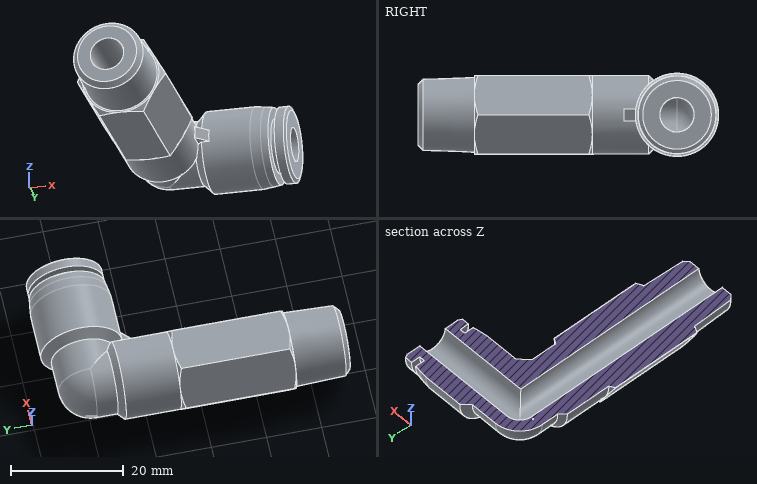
import cadquery as cq
import math

bore_radius = 3.05
thread_tip_radius = 5.4
thread_end_radius = 6.35
thread_root_radius = 6.7
thread_chamfer_length = 0.95
hex_start = 10.05
hex_end = 30.95
across_flats = 14.0
hex_chamfer_angle = math.radians(30)
body_radius = across_flats / 2
body_shoulder = 40.95
body_top = 42.2
neck_radius = 5.8

overall_length = 53.4
sleeve_diameter = 14.8
sleeve_radius = sleeve_diameter / 2
arm_axis_y = overall_length - sleeve_radius
sleeve_cone_start = 6.1
sleeve_start = 7.7
taper_start = 16.55
taper_middle = 18.4
taper_middle_radius = 7.15
sleeve_end = 19.75
sleeve_end_radius = 6.95
groove_radius = 4.9
collar_start = 20.9
collar_radius = 6.9
collar_edge = 22.55
arm_end = 22.9
arm_end_radius = 6.1

gusset_thickness = 2.15
gusset_foot_y = 36.6


def make_stem():
    """Turned profile of the threaded end, body and neck, up to the arm axis."""
    profile = [
        (0, 0),
        (thread_tip_radius, 0),
        (thread_end_radius, thread_chamfer_length),
        (thread_root_radius, hex_start),
        (body_radius, hex_start),
        (body_radius, body_shoulder),
        (neck_radius, body_top),
        (neck_radius, arm_axis_y),
        (0, arm_axis_y),
    ]
    return cq.Workplane("XY").polyline(profile).close().revolve(360, (0, 0), (0, 1))


def make_hex():
    """Hexagon with flats facing up and down and conically chamfered ends."""
    corner_radius = across_flats / 2 / math.cos(math.radians(30))
    chamfer = (corner_radius - body_radius) * math.tan(hex_chamfer_angle)
    prism = (
        cq.Workplane("XZ", origin=(0, hex_end, 0))
        .polygon(6, 2 * corner_radius)
        .extrude(hex_end - hex_start)
    )
    envelope = (
        cq.Workplane("XY")
        .polyline([
            (0, hex_start),
            (body_radius, hex_start),
            (corner_radius, hex_start + chamfer),
            (corner_radius, hex_end - chamfer),
            (body_radius, hex_end),
            (0, hex_end),
        ])
        .close()
        .revolve(360, (0, 0), (0, 1))
    )
    return prism.intersect(envelope)


def make_arm():
    """Turned profile of the arm neck, sleeve and release collar."""
    profile = [
        (0, 0),
        (0, neck_radius),
        (sleeve_cone_start, neck_radius),
        (sleeve_start, sleeve_radius),
        (taper_start, sleeve_radius),
        (taper_middle, taper_middle_radius),
        (sleeve_end, sleeve_end_radius),
        (sleeve_end, groove_radius),
        (collar_start, groove_radius),
        (collar_start, collar_radius),
        (collar_edge, collar_radius),
        (arm_end, arm_end_radius),
        (arm_end, 0),
    ]
    arm = cq.Workplane("XY").polyline(profile).close().revolve(360, (0, 0), (1, 0))
    return arm.translate((0, arm_axis_y, 0))


def make_corner_ball(radius):
    """Sphere that rounds the elbow where the two axes meet."""
    return cq.Workplane("XY", origin=(0, arm_axis_y, 0)).sphere(radius)


def make_gusset():
    """Thin web with a 45 degree edge between the body and the sleeve."""
    rise = arm_axis_y - gusset_foot_y
    return (
        cq.Workplane("XY", origin=(0, 0, -gusset_thickness / 2))
        .polyline([
            (body_radius - neck_radius, gusset_foot_y),
            (body_radius, gusset_foot_y),
            (body_radius + rise, arm_axis_y),
            (body_radius - neck_radius, arm_axis_y),
        ])
        .close()
        .extrude(gusset_thickness)
    )


def make_bore():
    """Passage through the stem, around the elbow and out of the arm."""
    stem_bore = cq.Workplane("XZ").circle(bore_radius).extrude(-arm_axis_y)
    arm_bore = cq.Workplane("YZ").center(arm_axis_y, 0).circle(bore_radius).extrude(arm_end)
    return stem_bore.union(arm_bore).union(make_corner_ball(bore_radius))


elbow = make_stem().union(make_hex()).union(make_arm())
elbow = elbow.union(make_corner_ball(neck_radius)).union(make_gusset())
result = elbow.cut(make_bore())